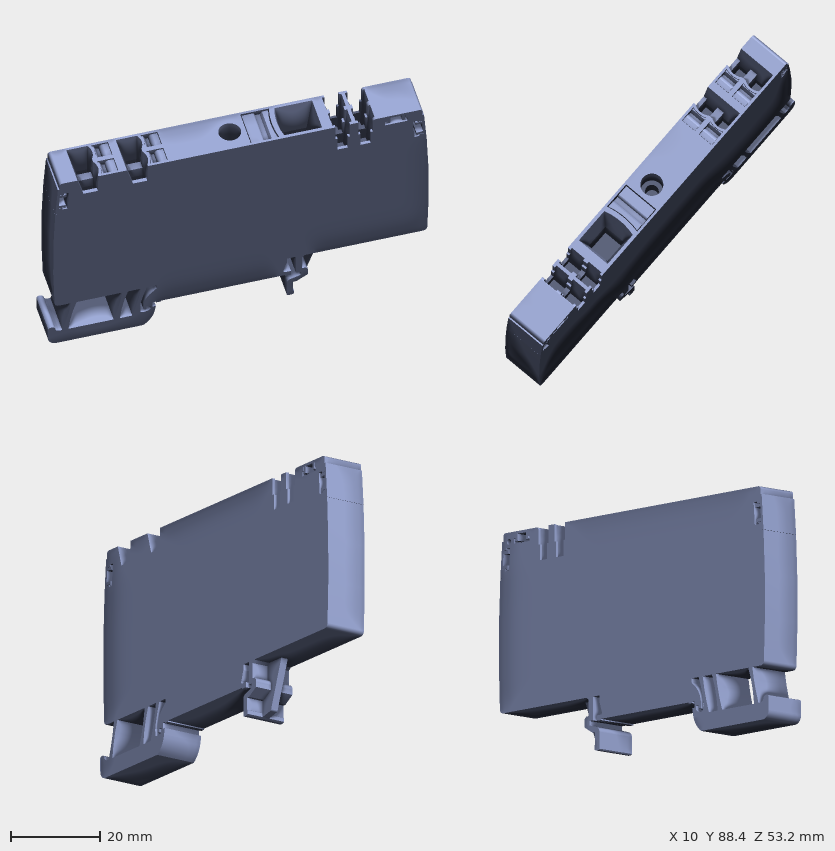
import cadquery as cq
import math

thickness = 10.0
half_thickness = thickness / 2
length = 88.35
total_height = 53.2
top_z = total_height / 2
sole_z = -top_z
foot_tip_y = -length / 2
case_bottom_z = -14.2
base_z = -19.6
ledge_z = -19.9
case_middle_y = 0.57
case_half_length = length / 2 - case_middle_y

top_half_length = 42.1
side_bottom_half_length = 43.2
top_corner_radius = 0.7
bottom_corner_radius = 1.1
foot_corner_radius = 1.9

label_length = 8.2
label_plate = 0.6
leg_inner = 1.3
leg_outer = 2.0
leg_length = 1.6
hook_reach = 0.3
hook_height = 0.4
neck_half_width = 2.1
chamber_half_width = 2.61
neck_depth = 1.0
chamber_depth = 2.1
label_step_z = 16.5
seat_top_half_length = 41.9
seat_bottom_half_length = 42.5
top_label_y = 36.7
seat_lean = math.asin((seat_bottom_half_length - seat_top_half_length) / label_length)
label_top_z = label_step_z + label_length * math.cos(seat_lean)

slot_centres_y = (29.5, 24.2)
slot_mouth = 3.4
slot_root = 2.4
slot_step_z = 22.6
slot_floor_z = 19.0
pocket_mouth = 4.5
pocket_floor = 2.5
pocket_floor_z = 15.9
pocket_width = 3.7
pocket_centres_x = (-2.52, 2.4)
slot_lead_radius = 0.7

test_hole_y = -0.66
test_hole_radius = 2.6
test_hole_depth = 7.1
test_core_radius = 1.55
test_core_depth = 12.4

pin_hole_y = 40.8
pin_hole_z = 24.5
pin_hole_radius = 0.66
pin_hole_depth = 1.8

button_drop = 0.3
shoulder_along = 0.7
shoulder_down = 0.3

small_terminal = dict(
    half_width=1.9, clearance=0.1,
    pocket_end=4.0, pocket_sag=0.35, pocket_depth=5.3,
    groove_top=(1.3, 3.45), groove_floor=(2.2, 2.8), groove_depth=1.1,
    funnel_half_width=1.99, funnel_crest=4.15, funnel_corner=4.8, funnel_far=9.6,
    floor_half_width=1.3, floor_near=4.95, floor_far=7.6, funnel_depth=7.1, shaft_depth=10.6,
)
small_terminal_y = (-16.3, -27.7)
small_terminal_x = (-2.43, 2.52)
relief_depth = 4.9

big_terminal = dict(
    half_width=4.4, clearance=0.22,
    pocket_end=6.6, pocket_sag=0.5, pocket_depth=7.1,
    groove_top=(2.7, 4.95), groove_floor=(3.3, 4.4), groove_depth=0.7,
    funnel_half_width=4.2, funnel_crest=7.25, funnel_corner=7.9, funnel_far=16.6,
    floor_half_width=2.7, floor_near=9.2, floor_far=14.9, funnel_depth=7.1, shaft_depth=13.25,
)
big_terminal_y = 3.0

strut_tops_y = (-21.3, -25.6, -37.55)
strut_mid_z = -18.55
foot_top_z = -22.66
strut_near_edge = (0.0, -1.28, -1.9)
strut_far_edge = (-1.3, -2.165, -3.4)

lever_web_thickness = 1.8


def side_profile():
    """Sketch plane on the -X face: local x is Y and local y is Z."""
    return cq.Workplane("YZ", origin=(-half_thickness, 0, 0))


def box_between(x0, x1, y0, y1, z0, z1):
    return cq.Workplane("XY").box(x1 - x0, y1 - y0, z1 - z0, centered=False).translate((x0, y0, z0))


def upper_case():
    """Case with bulging ends and a leaning flat seat for a label at the top of each end."""
    bulge_mid_z = (label_step_z + case_bottom_z) / 2
    shelf = seat_bottom_half_length + label_plate * math.cos(seat_lean)

    def right(offset):
        return case_middle_y - offset

    def left(offset):
        return case_middle_y + offset

    case = (
        side_profile()
        .moveTo(left(side_bottom_half_length), case_bottom_z)
        .threePointArc((left(case_half_length), bulge_mid_z), (left(shelf), label_step_z))
        .lineTo(left(seat_bottom_half_length), label_step_z)
        .lineTo(left(seat_top_half_length), label_top_z)
        .lineTo(left(top_half_length), label_top_z)
        .lineTo(left(top_half_length), top_z)
        .lineTo(right(top_half_length), top_z)
        .lineTo(right(top_half_length), label_top_z)
        .lineTo(right(seat_top_half_length), label_top_z)
        .lineTo(right(seat_bottom_half_length), label_step_z)
        .lineTo(right(shelf), label_step_z)
        .threePointArc(
            (right(case_half_length), bulge_mid_z),
            (right(side_bottom_half_length), case_bottom_z),
        )
        .close()
        .extrude(thickness)
    )
    for z, offset, radius in (
        (top_z, top_half_length, top_corner_radius),
        (case_bottom_z, side_bottom_half_length, bottom_corner_radius),
    ):
        for y in (left(offset), right(offset)):
            case = case.edges(cq.selectors.NearestToPointSelector((0, y, z))).fillet(radius)
    return case


def rail_base():
    """Raised base between the lever and the foot, with a rail ledge and a curved hook."""
    return (
        side_profile()
        .moveTo(11.2, case_bottom_z)
        .lineTo(11.2, -15.55)
        .lineTo(10.5, -17.85)
        .threePointArc((10.4, -18.3), (10.7, -18.6))
        .lineTo(12.2, -18.6)
        .lineTo(12.2, ledge_z)
        .lineTo(10.8, ledge_z)
        .lineTo(10.8, base_z)
        .lineTo(-18.0, base_z)
        .lineTo(-18.0, ledge_z)
        .lineTo(-19.1, ledge_z)
        .lineTo(-19.1, base_z)
        .lineTo(-20.0, base_z)
        .lineTo(-20.0, -21.4)
        .lineTo(-20.4, -21.4)
        .lineTo(-20.4, -20.7)
        .lineTo(-21.3, -20.7)
        .lineTo(-21.3, -21.5)
        .lineTo(-22.0, -21.5)
        .lineTo(-22.0, -19.8)
        .threePointArc((-21.2, -17.5), (-19.6, -15.8))
        .lineTo(-19.0, -15.2)
        .lineTo(-19.0, case_bottom_z)
        .close()
        .extrude(thickness)
    )


def release_lever():
    """Full-width spring strip with a rail nose, stiffened by a thin web behind it."""
    strip = (
        side_profile()
        .moveTo(15.5, case_bottom_z)
        .lineTo(14.75, -14.8)
        .lineTo(14.75, -18.5)
        .lineTo(15.5, -18.5)
        .threePointArc((16.1, -19.1), (16.2, -19.8))
        .lineTo(16.2, -20.85)
        .lineTo(13.4, -22.4)
        .lineTo(12.6, -22.4)
        .lineTo(12.6, -25.3)
        .lineTo(12.9, -25.45)
        .lineTo(12.9, -26.3)
        .lineTo(12.4, sole_z)
        .lineTo(11.5, sole_z)
        .lineTo(11.2, -26.3)
        .lineTo(11.2, -22.4)
        .threePointArc((11.6, -21.65), (12.2, -21.3))
        .lineTo(14.3, -20.7)
        .lineTo(14.5, -20.5)
        .lineTo(14.5, -19.6)
        .lineTo(13.3, -19.6)
        .lineTo(13.3, case_bottom_z)
        .close()
        .extrude(thickness)
    )
    web = (
        cq.Workplane("YZ", origin=(-lever_web_thickness / 2, 0, 0))
        .moveTo(20.1, case_bottom_z)
        .lineTo(16.3, -25.2)
        .threePointArc((16.1, -25.5), (15.7, -25.7))
        .lineTo(12.9, -26.3)
        .lineTo(12.9, -22.1)
        .lineTo(15.3, -19.9)
        .lineTo(14.3, -18.5)
        .lineTo(14.3, case_bottom_z)
        .close()
        .extrude(lever_web_thickness)
    )
    return strip.union(web)


def foot_strut(top_y):
    """Curved leaf that thins towards its middle."""
    near = [top_y + offset for offset in strut_near_edge]
    far = [top_y + offset for offset in strut_far_edge]
    return (
        side_profile()
        .moveTo(near[0], case_bottom_z)
        .threePointArc((near[1], strut_mid_z), (near[2], foot_top_z))
        .lineTo(far[2], foot_top_z)
        .threePointArc((far[1], strut_mid_z), (far[0], case_bottom_z))
        .close()
        .extrude(thickness)
    )


def rail_foot():
    """Foot hanging from three curved struts, with a rail lip and an upturned finger grip."""
    sole = (
        side_profile()
        .moveTo(-19.2, -21.0)
        .lineTo(-20.4, -21.0)
        .lineTo(-20.4, -21.6)
        .threePointArc((-21.5, -22.2), (-22.7, -22.0))
        .lineTo(-22.7, -20.3)
        .lineTo(-23.4, foot_top_z)
        .lineTo(-41.7, foot_top_z)
        .lineTo(-42.4, -22.3)
        .lineTo(-42.5, -21.7)
        .threePointArc((-43.2, -21.1), (foot_tip_y, -21.5))
        .lineTo(foot_tip_y, sole_z)
        .lineTo(-22.1, sole_z)
        .threePointArc((-20.4, -24.9), (-19.4, -22.4))
        .close()
        .extrude(thickness)
    )
    tip = cq.selectors.NearestToPointSelector((0, foot_tip_y, sole_z))
    foot = sole.edges(tip).fillet(foot_corner_radius)
    for top_y in strut_tops_y:
        foot = foot.union(foot_strut(top_y))
    return foot


def jumper_slots():
    """Two cross slots, stepped at the ribs and wider with tapered walls between them."""
    cuts = cq.Workplane("XY")
    for centre_y in slot_centres_y:
        for width, floor_z in ((slot_root, slot_floor_z), (slot_mouth, slot_step_z)):
            cuts = cuts.union(
                box_between(
                    -half_thickness, half_thickness,
                    centre_y - width / 2, centre_y + width / 2,
                    floor_z, top_z,
                )
            )
        for centre_x in pocket_centres_x:
            pocket = (
                cq.Workplane("XY", origin=(centre_x, centre_y, pocket_floor_z))
                .rect(pocket_width, pocket_floor)
                .workplane(offset=top_z - pocket_floor_z)
                .rect(pocket_width, pocket_mouth)
                .loft(ruled=True)
            )
            cuts = cuts.union(pocket)
    return cuts


def slot_lead_in():
    """Round on the +Y lip of the first slot."""
    lip_y = slot_centres_y[0] + slot_mouth / 2
    round_y = lip_y + slot_lead_radius
    round_z = top_z - slot_lead_radius
    diagonal = slot_lead_radius * math.sqrt(0.5)
    return (
        side_profile()
        .moveTo(round_y, top_z)
        .threePointArc((round_y - diagonal, round_z + diagonal), (lip_y, round_z))
        .lineTo(lip_y, top_z)
        .close()
        .extrude(thickness)
    )


def test_hole():
    """Stepped hole, narrower below its ledge."""
    top = cq.Workplane("XY", origin=(0, test_hole_y, top_z))
    core = top.circle(test_core_radius).extrude(-test_core_depth)
    return core.union(top.circle(test_hole_radius).extrude(-test_hole_depth))


def pin_hole():
    """Blind hole in the -X face beside the labels."""
    return side_profile().center(pin_hole_y, pin_hole_z).circle(pin_hole_radius).extrude(pin_hole_depth)


def label_plane(centre_y, centre_z, outward_angle):
    """Plane on a label seat: local x runs along the label, local y points out of the seat."""
    along = (0, math.sin(outward_angle), -math.cos(outward_angle))
    return cq.Plane(origin=(-half_thickness, centre_y, centre_z), xDir=along, normal=(1, 0, 0))


def label_planes():
    """Seats of the top label and of the +Y and -Y side labels."""
    seat_mid_half_length = (seat_top_half_length + seat_bottom_half_length) / 2
    seat_mid_z = (label_step_z + label_top_z) / 2
    return [
        label_plane(top_label_y, top_z - label_plate, math.pi / 2),
        label_plane(case_middle_y + seat_mid_half_length, seat_mid_z, seat_lean),
        label_plane(case_middle_y - seat_mid_half_length, seat_mid_z, math.pi - seat_lean),
    ]


def label(plane):
    """Plate with two legs that end in outward hooks."""
    sketch = cq.Workplane(plane)
    body = sketch.center(0, label_plate / 2).rect(label_length, label_plate).extrude(thickness)
    for side in (-1, 1):
        leg = (
            cq.Workplane(plane)
            .polyline([
                (side * leg_inner, 0),
                (side * leg_inner, -leg_length),
                (side * (leg_outer + hook_reach), -leg_length),
                (side * leg_outer, -leg_length + hook_height),
                (side * leg_outer, 0),
            ])
            .close()
            .extrude(thickness)
        )
        body = body.union(leg)
    return body


def label_seat(plane):
    """Room for a label: the bed of its plate, a neck, and a wider chamber for the hooks."""
    cut = cq.Workplane(plane).center(0, label_plate / 2).rect(label_length, label_plate).extrude(thickness)
    for half_width, top, bottom in (
        (neck_half_width, 0, neck_depth),
        (chamber_half_width, neck_depth, chamber_depth),
    ):
        cut = cut.union(
            cq.Workplane(plane)
            .center(0, -(top + bottom) / 2)
            .rect(2 * half_width, bottom - top)
            .extrude(thickness)
        )
    return cut


def terminal_plane(x, y, direction, z=top_z):
    """Plane whose local y runs from the button to the funnel; direction is +1 or -1 along Y."""
    return cq.Plane(origin=(x, y, z), xDir=(direction, 0, 0), normal=(0, 0, 1))


def button_outline(plane, terminal, clearance):
    """Rectangle whose funnel end is hollowed by an arc."""
    half_width = terminal["half_width"] - clearance
    end = terminal["pocket_end"] - clearance
    return (
        cq.Workplane(plane)
        .moveTo(-half_width, clearance)
        .lineTo(half_width, clearance)
        .lineTo(half_width, end)
        .threePointArc((0, end - terminal["pocket_sag"]), (-half_width, end))
        .close()
    )


def button_pocket(terminal, x, y, direction):
    """Blind pocket that a button stands in."""
    plane = terminal_plane(x, y, direction)
    return button_outline(plane, terminal, 0).extrude(-terminal["pocket_depth"])


def button(terminal, x, y, direction):
    """Push button standing on the pocket floor, with a screwdriver groove across its top."""
    plane = terminal_plane(x, y, direction, top_z - terminal["pocket_depth"])
    height = terminal["pocket_depth"] - button_drop
    body = button_outline(plane, terminal, terminal["clearance"]).extrude(height)
    groove_z = top_z - button_drop
    near_top, far_top = [y + direction * t for t in terminal["groove_top"]]
    near_floor, far_floor = [y + direction * t for t in terminal["groove_floor"]]
    floor_z = groove_z - terminal["groove_depth"]
    shoulder = (
        near_top + (near_floor - near_top) * shoulder_along,
        groove_z - terminal["groove_depth"] * shoulder_down,
    )
    groove = (
        cq.Workplane("YZ", origin=(x - terminal["half_width"], 0, 0))
        .moveTo(near_top, groove_z)
        .threePointArc(shoulder, (near_floor, floor_z))
        .lineTo(far_floor, floor_z)
        .lineTo(far_top, groove_z)
        .close()
        .extrude(2 * terminal["half_width"])
    )
    return body.cut(groove)


def wire_funnel(terminal, x, y, direction):
    """Funnel narrowing to a straight rectangular shaft; its mouth bows towards the button."""
    mouth = terminal["funnel_half_width"]
    floor = terminal["floor_half_width"]
    floor_near = terminal["floor_near"]
    floor_far = terminal["floor_far"]
    plane = terminal_plane(x, y, direction)
    funnel = (
        cq.Workplane(plane)
        .moveTo(-mouth, terminal["funnel_far"])
        .lineTo(-mouth, terminal["funnel_corner"])
        .threePointArc((0, terminal["funnel_crest"]), (mouth, terminal["funnel_corner"]))
        .lineTo(mouth, terminal["funnel_far"])
        .close()
        .workplane(offset=-terminal["funnel_depth"])
        .moveTo(-floor, floor_far)
        .lineTo(-floor, floor_near)
        .lineTo(floor, floor_near)
        .lineTo(floor, floor_far)
        .close()
        .loft(ruled=True)
    )
    shaft = (
        cq.Workplane(plane)
        .center(0, (floor_near + floor_far) / 2)
        .rect(2 * floor, floor_far - floor_near)
        .extrude(-terminal["shaft_depth"])
    )
    return funnel.union(shaft)


def funnel_relief(x, y):
    """Opening in the +X wall of a small funnel, ending where the funnel's end walls do.

    It runs through to the next funnel, or out of the +X face of the housing.
    """
    depth_share = relief_depth / small_terminal["funnel_depth"]

    def at_relief_floor(mouth_key, floor_key):
        mouth = small_terminal[mouth_key]
        return mouth + (small_terminal[floor_key] - mouth) * depth_share

    wall = at_relief_floor("funnel_half_width", "floor_half_width")
    pitch = small_terminal_x[1] - small_terminal_x[0]
    floor_z = top_z - relief_depth
    return (
        cq.Workplane("YZ", origin=(x + wall, 0, 0))
        .polyline([
            (y - small_terminal["funnel_corner"], top_z),
            (y - at_relief_floor("funnel_corner", "floor_near"), floor_z),
            (y - at_relief_floor("funnel_far", "floor_far"), floor_z),
            (y - small_terminal["funnel_far"], top_z),
        ])
        .close()
        .extrude(pitch - 2 * wall)
    )


small_places = [(x, y) for y in small_terminal_y for x in small_terminal_x]
terminals = [(small_terminal, x, y, -1) for x, y in small_places]
terminals.append((big_terminal, 0, big_terminal_y, 1))


def housing():
    """One-piece housing with its rail foot, lever, slots, holes and seats for the other bodies."""
    body = upper_case().union(rail_base()).union(release_lever()).union(rail_foot())
    body = body.cut(jumper_slots()).cut(slot_lead_in()).cut(test_hole()).cut(pin_hole())
    for plane in label_planes():
        body = body.cut(label_seat(plane))
    for place in terminals:
        body = body.cut(button_pocket(*place)).cut(wire_funnel(*place))
    for x, y in small_places:
        body = body.cut(funnel_relief(x, y))
    return body


case_body = housing()
labels = [label(plane) for plane in label_planes()]
buttons = [button(*place) for place in terminals]

result = cq.Compound.makeCompound(
    case_body.solids().vals() + [body.val() for body in labels] + [body.val() for body in buttons]
)